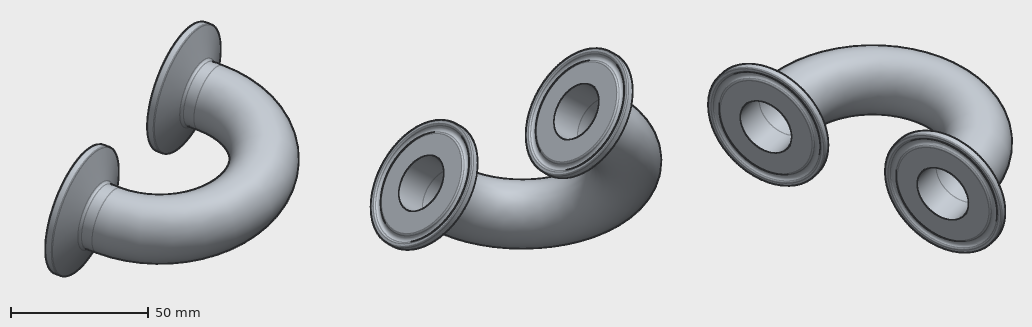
import cadquery as cq
import math

tube_outer_radius = 25.4 / 2
tube_inner_radius = 22.1 / 2
bend_radius = 38.1
bend_start_x = 12.7

flange_radius = 50.39 / 2
flange_edge_x = 2.95
clamp_angle = math.radians(20)
front_rim_fillet = 0.4
back_rim_fillet = 0.4
neck_fillet = 1.2

groove_centre_radius = 43.5 / 2
groove_width = 2.8
groove_depth = 1.3
groove_lip_fillet = 0.8

selection_tolerance = 0.05


def ring_edge(body, radius, x):
    """The circular edge about the X axis with the given radius and x position."""
    def is_wanted(edge):
        right_radius = abs(edge.radius() - radius) < selection_tolerance
        right_place = abs(edge.Center().x - x) < selection_tolerance
        return right_radius and right_place

    return body.edges("%CIRCLE").filter(is_wanted)


def make_ferrule():
    """Solid ferrule about the X axis, with its sealing face at x = 0."""
    cone_length = (flange_radius - tube_outer_radius) * math.tan(clamp_angle)
    neck_x = flange_edge_x + cone_length
    body = (
        cq.Workplane("XY")
        .moveTo(0, 0)
        .lineTo(0, flange_radius)
        .lineTo(flange_edge_x, flange_radius)
        .lineTo(neck_x, tube_outer_radius)
        .lineTo(bend_start_x, tube_outer_radius)
        .lineTo(bend_start_x, 0)
        .close()
        .revolve(360, (0, 0, 0), (1, 0, 0))
    )
    body = ring_edge(body, tube_outer_radius, neck_x).fillet(neck_fillet)
    body = ring_edge(body, flange_radius, flange_edge_x).fillet(back_rim_fillet)
    body = ring_edge(body, flange_radius, 0).fillet(front_rim_fillet)
    return cut_gasket_groove(body)


def cut_gasket_groove(body):
    """Cut the ring groove into the sealing face and round both of its lips."""
    inner_radius = groove_centre_radius - groove_width / 2
    outer_radius = groove_centre_radius + groove_width / 2
    groove = (
        cq.Workplane("XY")
        .moveTo(0, inner_radius)
        .threePointArc((groove_depth, groove_centre_radius), (0, outer_radius))
        .close()
        .revolve(360, (0, 0, 0), (1, 0, 0))
    )
    body = body.cut(groove)
    for lip_radius in (inner_radius, outer_radius):
        body = ring_edge(body, lip_radius, 0).fillet(groove_lip_fillet)
    return body


def make_bend(radius):
    """Half-turn bar of the given radius joining the two ferrule ends."""
    return (
        cq.Workplane("YZ", origin=(bend_start_x, -bend_radius, 0))
        .circle(radius)
        .revolve(180, (bend_radius, -1, 0), (bend_radius, 1, 0))
    )


def make_bore():
    """Flow passage through both ferrules and the bend."""
    bore = make_bend(tube_inner_radius)
    for side in (-1, 1):
        straight = cq.Workplane("YZ", origin=(0, side * bend_radius, 0))
        bore = bore.union(straight.circle(tube_inner_radius).extrude(bend_start_x))
    return bore


result = make_bend(tube_outer_radius)
for side in (-1, 1):
    result = result.union(make_ferrule().translate((0, side * bend_radius, 0)))
result = result.cut(make_bore())